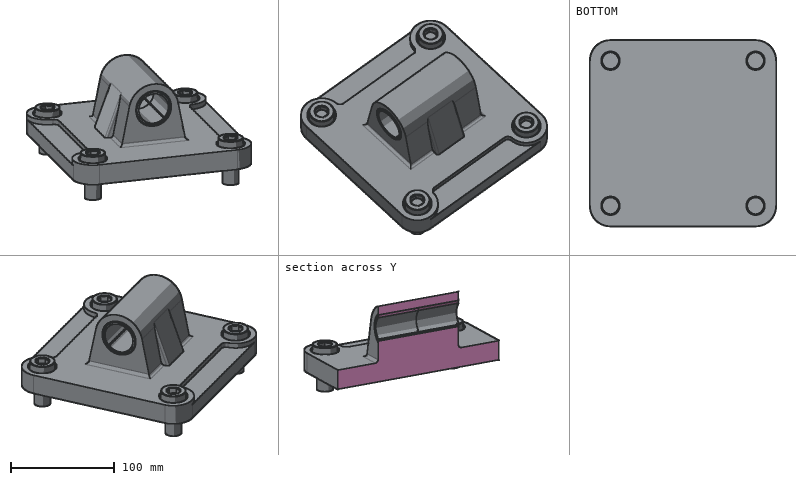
import cadquery as cq
import math

plate_side = 180.0
plate_thickness = 20.0
corner_radius = 20.0
screw_offset = plate_side / 2 - corner_radius

recess_depth = 5.0
recess_inner_y = 66.5
recess_fillet = 5.0

seat_diameter = 26.0
seat_depth = 10.0
seat_chamfer = 1.0
clearance_diameter = 18.0

block_length = 90.0
bore_height = 55.0
crown_radius = 25.0
block_half_width = 32.5
block_foot_fillet = 3.0
bore_diameter = 34.0
bore_chamfer = 1.0

rib_length = 35.0
rib_half_width = 40.0
rib_edge_fillet = 2.0

bushing_inner_diameter = 30.0
bushing_length = block_length / 2
bushing_gap = 0.75
bushing_gap_angle = 45.0

shank_diameter = 16.0
head_diameter = 24.0
head_height = 16.0
head_chamfer = 0.5
shank_reach = 20.0
socket_width = 12.0
socket_depth = 6.0
socket_mouth_diameter = 14.0
socket_mouth_chamfer = 1.0
socket_point_angle = 120.0

seat_height = plate_thickness - seat_depth
screw_points = [(x, y) for x in (-screw_offset, screw_offset) for y in (-screw_offset, screw_offset)]


def arched_prism(half_width, length):
    """Prism along X: straight sides rising from the plate, tangent to the crown arc round the bore."""
    rise = bore_height - plate_thickness
    foot_distance = math.hypot(half_width, rise)
    tangent_angle = math.acos(crown_radius / foot_distance) - math.atan2(rise, half_width)
    tangent_y = crown_radius * math.cos(tangent_angle)
    tangent_z = bore_height + crown_radius * math.sin(tangent_angle)
    return (
        cq.Workplane("YZ")
        .moveTo(-half_width, plate_thickness)
        .lineTo(-tangent_y, tangent_z)
        .threePointArc((0, bore_height + crown_radius), (tangent_y, tangent_z))
        .lineTo(half_width, plate_thickness)
        .close()
        .extrude(length / 2, both=True)
    )


def edge_recess():
    """Recess on the +Y edge: it wraps the two corner bosses and has rounded inner corners."""
    floor = plate_thickness - recess_depth
    fillet_centre_y = recess_inner_y + recess_fillet
    centre_rise = fillet_centre_y - screw_offset
    centre_run = math.sqrt((corner_radius + recess_fillet) ** 2 - centre_rise**2)
    fillet_x = screw_offset - centre_run
    share = corner_radius / (corner_radius + recess_fillet)
    join_x = screw_offset - share * centre_run
    join_y = screw_offset + share * centre_rise
    join_angle = math.atan2(centre_rise, centre_run)
    mid_angle = (join_angle + math.pi / 2) / 2
    boss_mid_x = screw_offset - corner_radius * math.cos(mid_angle)
    boss_mid_y = screw_offset + corner_radius * math.sin(mid_angle)
    fillet_mid_x = fillet_x + recess_fillet * math.cos(mid_angle)
    fillet_mid_y = fillet_centre_y - recess_fillet * math.sin(mid_angle)
    return (
        cq.Workplane("XY", origin=(0, 0, floor))
        .moveTo(-screw_offset, plate_side / 2)
        .threePointArc((-boss_mid_x, boss_mid_y), (-join_x, join_y))
        .threePointArc((-fillet_mid_x, fillet_mid_y), (-fillet_x, recess_inner_y))
        .lineTo(fillet_x, recess_inner_y)
        .threePointArc((fillet_mid_x, fillet_mid_y), (join_x, join_y))
        .threePointArc((boss_mid_x, boss_mid_y), (screw_offset, plate_side / 2))
        .close()
        .extrude(recess_depth)
    )


def screw_hole():
    """Clearance hole with a chamfered counterbore, about the Z axis."""
    seat_radius = seat_diameter / 2
    clearance_radius = clearance_diameter / 2
    return (
        cq.Workplane("XZ")
        .polyline([
            (0, 0),
            (clearance_radius, 0),
            (clearance_radius, seat_height),
            (seat_radius, seat_height),
            (seat_radius, plate_thickness - seat_chamfer),
            (seat_radius + seat_chamfer, plate_thickness),
            (0, plate_thickness),
        ])
        .close()
        .revolve(360, (0, 0), (0, 1))
    )


def bore_with_chamfers():
    """Through bore along X, flared by a chamfer at both ends."""
    half_length = block_length / 2
    bore_radius = bore_diameter / 2
    return (
        cq.Workplane("XY")
        .polyline([
            (-half_length, 0),
            (-half_length, bore_radius + bore_chamfer),
            (-half_length + bore_chamfer, bore_radius),
            (half_length - bore_chamfer, bore_radius),
            (half_length, bore_radius + bore_chamfer),
            (half_length, 0),
        ])
        .close()
        .revolve(360, (0, 0), (1, 0))
        .translate((0, 0, bore_height))
    )


def build_housing():
    """Plate and bearing block in one piece, with the bore, recesses and screw holes cut out."""
    plate = (
        cq.Workplane("XY")
        .rect(plate_side, plate_side)
        .extrude(plate_thickness)
        .edges("|Z")
        .fillet(corner_radius)
    )
    block = arched_prism(block_half_width, block_length)
    body = plate.union(block)
    margin = 1.0
    foot_region = cq.selectors.BoxSelector(
        (-block_length / 2 - margin, -block_half_width - margin, plate_thickness - margin),
        (block_length / 2 + margin, block_half_width + margin, plate_thickness + margin),
    )
    body = body.edges(foot_region).fillet(block_foot_fillet)

    rib = arched_prism(rib_half_width, rib_length)
    rib = rib.faces("<X or >X").edges("not <Z").fillet(rib_edge_fillet)
    body = body.union(rib)

    recess = edge_recess()
    body = body.cut(recess).cut(recess.mirror("XZ"))
    for x, y in screw_points:
        body = body.cut(screw_hole().translate((x, y, 0)))

    return body.cut(bore_with_chamfers())


def build_bushing(start_x):
    """Ring with a lengthwise gap on its +Y side, then turned about the bore axis."""
    ring = (
        cq.Workplane("YZ")
        .circle(bore_diameter / 2)
        .circle(bushing_inner_diameter / 2)
        .extrude(bushing_length)
    )
    gap = cq.Workplane("XY").box(
        bushing_length, bore_diameter, bushing_gap, centered=(False, False, True)
    )
    return (
        ring.cut(gap)
        .rotate((0, 0, 0), (1, 0, 0), -bushing_gap_angle)
        .translate((start_x, 0, bore_height))
    )


def build_screw(x, y):
    """Socket head screw seated in the plate; the hexagon socket ends in a drill point."""
    head_radius = head_diameter / 2
    shank_radius = shank_diameter / 2
    head_top = seat_height + head_height
    screw = (
        cq.Workplane("XZ")
        .polyline([
            (0, -shank_reach),
            (shank_radius, -shank_reach),
            (shank_radius, seat_height),
            (head_radius, seat_height),
            (head_radius, head_top - head_chamfer),
            (head_radius - head_chamfer, head_top),
            (0, head_top),
        ])
        .close()
        .revolve(360, (0, 0), (0, 1))
    )
    floor = head_top - socket_depth
    corner_diameter = socket_width / math.cos(math.pi / 6)
    socket = (
        cq.Workplane("XY", origin=(0, 0, floor))
        .polygon(6, corner_diameter)
        .extrude(socket_depth)
    )
    point_radius = socket_width / 2
    point_depth = point_radius / math.tan(math.radians(socket_point_angle / 2))
    point = cq.Workplane(
        cq.Solid.makeCone(0, point_radius, point_depth)
    ).translate((0, 0, floor - point_depth))
    mouth_radius = socket_mouth_diameter / 2
    mouth = cq.Workplane(
        cq.Solid.makeCone(mouth_radius - socket_mouth_chamfer, mouth_radius, socket_mouth_chamfer)
    ).translate((0, 0, head_top - socket_mouth_chamfer))
    return screw.cut(socket).cut(point).cut(mouth).translate((x, y, 0))


housing = build_housing()
bushings = [build_bushing(start_x) for start_x in (-bushing_length, 0)]
screws = [build_screw(x, y) for x, y in screw_points]

result = cq.Compound.makeCompound([
    housing.val(),
    *[bushing.val() for bushing in bushings],
    *[screw.val() for screw in screws],
])